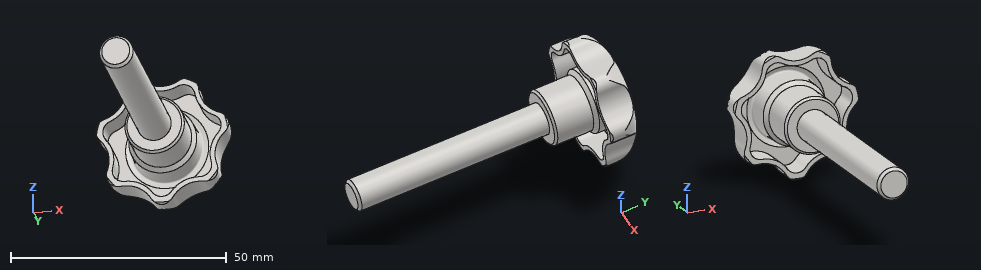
import cadquery as cq
import math

total_length = 70.0
head_height = 10.0
hub_length = 10.0
stud_end = head_height - total_length

lobe_count = 7
lobe_pitch = 2 * math.pi / lobe_count
head_diameter = 32.0
tip_radius = head_diameter / 2
lobe_radius = 3.0
lobe_center = tip_radius - lobe_radius
valley_radius = 13.0

shoulder_radius = 6.0
shoulder_start = 2.95
rim_chamfer_height = 0.55
rim_chamfer_width = 0.4

inner_lobe_radius = 2.8
inner_lobe_center = 11.4
inner_valley_radius = 11.8
cavity_depth = 6.8
dish_radius = 9.8
dish_rise = 0.55

hub_radius = 7.0
hub_chamfer = 0.55
root_diameter = 16.0
root_radius = root_diameter / 2
root_base_radius = 8.2
root_fillet_radius = 0.4
root_step = root_radius - hub_radius

stud_diameter = 8.0
stud_radius = stud_diameter / 2
stud_chamfer = 0.7


def polar(radius, angle):
    return (radius * math.cos(angle), radius * math.sin(angle))


def lobed_prism(center_radius, round_radius, low_radius, height):
    """Extrude tangent lobe and hollow arcs from the rim plane towards +Y."""
    half_pitch = lobe_pitch / 2
    offset = low_radius - center_radius * math.cos(half_pitch)
    side = center_radius * math.sin(half_pitch)
    hollow_radius = (offset**2 + side**2 - round_radius**2) / (2 * (round_radius - offset))
    share = round_radius / (round_radius + hollow_radius)
    hollow_center = low_radius + hollow_radius

    def joint(lobe_angle, direction):
        lobe_x, lobe_z = polar(center_radius, lobe_angle)
        hollow_x, hollow_z = polar(hollow_center, lobe_angle + direction * half_pitch)
        return (lobe_x + share * (hollow_x - lobe_x), lobe_z + share * (hollow_z - lobe_z))

    first_angle = -math.pi / 2
    outline = cq.Workplane("XZ").moveTo(*joint(first_angle, -1))
    for index in range(lobe_count):
        angle = first_angle + index * lobe_pitch
        tip = polar(center_radius + round_radius, angle)
        valley = polar(low_radius, angle + half_pitch)
        outline = outline.threePointArc(tip, joint(angle, 1))
        outline = outline.threePointArc(valley, joint(angle + lobe_pitch, -1))
    return outline.close().extrude(-height)


def revolve_about_y(profile):
    return profile.close().revolve(360, (0, 0, 0), (0, 1, 0))


def crowned_blank():
    """Round blank with a domed top that runs tangentially into its shoulder."""
    center_x = tip_radius - shoulder_radius
    crown_drop = head_height - shoulder_start
    crown_radius = (center_x**2 + crown_drop**2 - shoulder_radius**2) / (
        2 * (crown_drop - shoulder_radius)
    )
    crown_center = head_height - crown_radius
    crown_angle = math.asin(center_x / (crown_radius - shoulder_radius))
    shoulder_angle = (crown_angle + math.pi / 2) / 2

    def on_arc(x, y, radius, angle):
        return (x + radius * math.sin(angle), y + radius * math.cos(angle))

    crown_middle = on_arc(0, crown_center, crown_radius, crown_angle / 2)
    crown_end = on_arc(0, crown_center, crown_radius, crown_angle)
    shoulder_middle = on_arc(center_x, shoulder_start, shoulder_radius, shoulder_angle)
    return revolve_about_y(
        cq.Workplane("XY")
        .lineTo(0, head_height)
        .threePointArc(crown_middle, crown_end)
        .threePointArc(shoulder_middle, (tip_radius, shoulder_start))
        .lineTo(tip_radius, rim_chamfer_height)
        .lineTo(tip_radius - rim_chamfer_width, 0)
    )


def cavity():
    """Lobed recess whose floor deepens as a shallow cone near the hub."""
    recess = lobed_prism(inner_lobe_center, inner_lobe_radius, inner_valley_radius, cavity_depth)
    dish = revolve_about_y(
        cq.Workplane("XY")
        .lineTo(dish_radius, 0)
        .lineTo(dish_radius, cavity_depth)
        .lineTo(root_base_radius, cavity_depth + dish_rise)
        .lineTo(0, cavity_depth + dish_rise)
    )
    return recess.union(dish)


def hub():
    ceiling = cavity_depth + dish_rise
    return revolve_about_y(
        cq.Workplane("XY")
        .moveTo(0, -hub_length)
        .lineTo(hub_radius - hub_chamfer, -hub_length)
        .lineTo(hub_radius, hub_chamfer - hub_length)
        .lineTo(hub_radius, 0)
        .lineTo(root_radius, root_step)
        .lineTo(root_base_radius, ceiling)
        .lineTo(0, ceiling)
    )


def stud():
    return revolve_about_y(
        cq.Workplane("XY")
        .moveTo(0, stud_end)
        .lineTo(stud_radius - stud_chamfer, stud_end)
        .lineTo(stud_radius, stud_end + stud_chamfer)
        .lineTo(stud_radius, 0)
        .lineTo(0, 0)
    )


def root_edge(body):
    """The circle where the hub root meets the cavity ceiling."""
    ceiling = cavity_depth + dish_rise
    reach = 0.1
    low = (-root_base_radius - reach, ceiling - reach, -root_base_radius - reach)
    high = (root_base_radius + reach, ceiling + reach, root_base_radius + reach)
    return body.edges(cq.selectors.BoxSelector(low, high, boundingbox=True))


head = lobed_prism(lobe_center, lobe_radius, valley_radius, head_height).intersect(crowned_blank())
body = head.cut(cavity()).union(hub())
body = root_edge(body).fillet(root_fillet_radius)
result = body.union(stud())